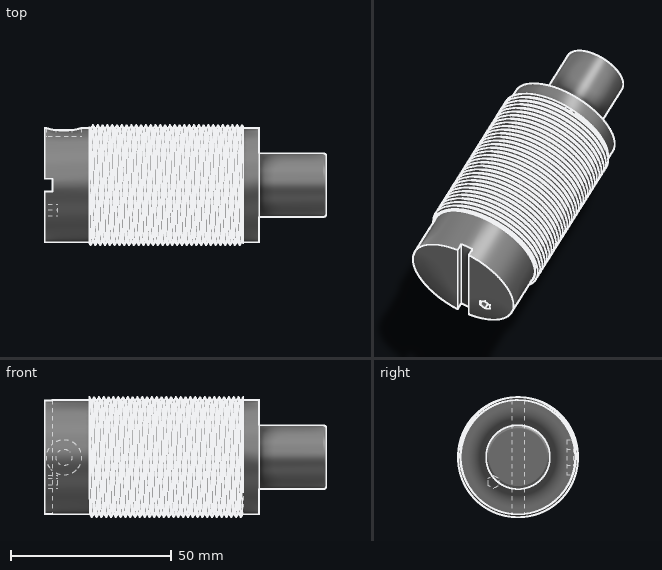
import cadquery as cq
import math

total_length = 88.0
body_length = 67.0
thread_start = 14.0
thread_end = 62.0

body_diameter = 35.7
thread_diameter = 37.6
pin_diameter = 20.0
pin_edge_radius = 1.0

thread_turns = 32
thread_pitch = (thread_end - thread_start) / thread_turns
flank_half_angle = math.radians(30)
ridge_sink = 0.3

slot_width = 4.0
slot_depth = 2.5

socket_y = -7.7
socket_z = -7.7
socket_flats = 3.5
socket_depth = 4.0

recess_diameter = 11.0
recess_x = 6.0
recess_depth = 2.6
stud_diameter = 5.0
stud_drop = 0.6

body_radius = body_diameter / 2
thread_radius = thread_diameter / 2


def make_body():
    """Plain cylinder with the rounded pin on its +X end."""
    body = cq.Workplane("YZ").circle(body_radius).extrude(body_length)
    pin = (
        cq.Workplane("YZ", origin=(body_length, 0, 0))
        .circle(pin_diameter / 2)
        .extrude(total_length - body_length)
        .faces(">X")
        .edges()
        .fillet(pin_edge_radius)
    )
    return body.union(pin)


def make_thread():
    """Helical ridge, crest at +Z where the thread starts, trimmed square at both ends."""
    thread_length = thread_end - thread_start
    root_radius = body_radius - ridge_sink
    root_half_width = (thread_radius - root_radius) * math.tan(flank_half_angle)
    helix = cq.Wire.makeHelix(thread_pitch, thread_length + 2 * thread_pitch, body_radius)
    ridge = (
        cq.Workplane("XZ")
        .moveTo(root_radius, -root_half_width)
        .lineTo(thread_radius, 0)
        .lineTo(root_radius, root_half_width)
        .close()
        .sweep(cq.Workplane(obj=helix), isFrenet=True)
    )
    ridge = ridge.rotate((0, 0, 0), (0, 0, 1), 180)
    ridge = ridge.rotate((0, 0, 0), (0, 1, 0), 90)
    ridge = ridge.translate((thread_start - thread_pitch, 0, 0))
    trim = cq.Workplane("YZ", origin=(thread_start, 0, 0)).circle(thread_diameter).extrude(thread_length)
    return ridge.intersect(trim)


def make_slot():
    return cq.Workplane("XY").box(2 * slot_depth, slot_width, 2 * body_diameter)


def make_socket():
    """Hexagonal prism with two corners pointing along Z."""
    corner_diameter = socket_flats / math.cos(math.pi / 6)
    return (
        cq.Workplane("YZ", origin=(0, socket_y, socket_z))
        .transformed(rotate=(0, 0, 90))
        .polygon(6, corner_diameter)
        .extrude(socket_depth)
    )


def make_recess():
    """Cylindrical pocket along Y that leaves the central stud standing."""
    pocket = (
        cq.Workplane("XZ", origin=(recess_x, body_radius, 0))
        .circle(recess_diameter / 2)
        .extrude(recess_depth)
    )
    stud = (
        cq.Workplane("XZ", origin=(recess_x, body_radius - stud_drop, 0))
        .circle(stud_diameter / 2)
        .extrude(recess_depth)
    )
    return pocket.cut(stud)


result = (
    make_body()
    .cut(make_slot())
    .cut(make_socket())
    .cut(make_recess())
    .union(make_thread())
)